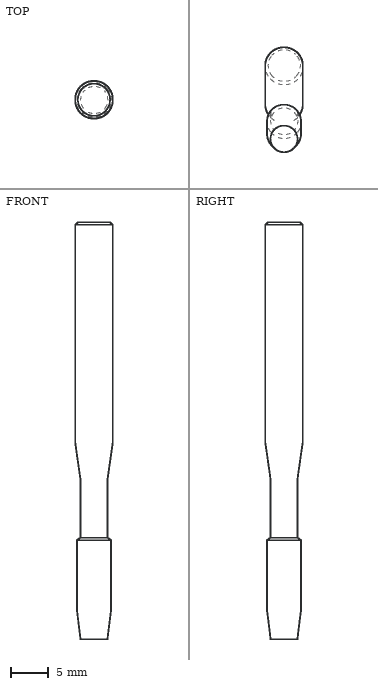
import cadquery as cq

total_length = 55.0

shank_diameter = 5.0
shank_chamfer = 0.4
shank_bottom = 26.0
neck_diameter = 3.6
neck_top = 21.0

head_diameter = 4.5
head_length = 13.4
head_top_bevel = 0.35
lead_length = 3.8
tip_diameter = 3.6

shank_radius = shank_diameter / 2
neck_radius = neck_diameter / 2
head_radius = head_diameter / 2
tip_radius = tip_diameter / 2


def turned_body(profile):
    """Revolve a closed (radius, height) profile about Z."""
    return cq.Workplane("XZ").polyline(profile).close().revolve(360, (0, 0), (0, 1))


def make_shank():
    """Chamfered shank that tapers to a thinner neck standing on the head."""
    return turned_body([
        (0, head_length),
        (neck_radius, head_length),
        (neck_radius, neck_top),
        (shank_radius, shank_bottom),
        (shank_radius, total_length - shank_chamfer),
        (shank_radius - shank_chamfer, total_length),
        (0, total_length),
    ])


def make_head():
    """Cylindrical head with a bevel up to the neck and a tapered lead at the tip."""
    return turned_body([
        (0, 0),
        (tip_radius, 0),
        (head_radius, lead_length),
        (head_radius, head_length - head_top_bevel),
        (neck_radius, head_length),
        (0, head_length),
    ])


shank = make_shank()
head = make_head()

result = cq.Compound.makeCompound([shank.val(), head.val()])